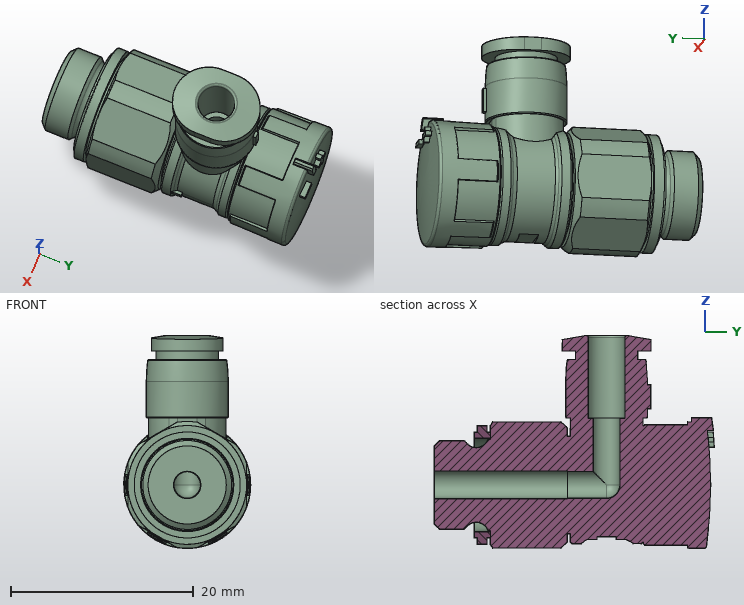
import cadquery as cq
import math

cos_45 = math.cos(math.radians(45))


thread_end_y = -18.87
thread_diameter = 9.73
thread_radius = thread_diameter / 2
thread_chamfer = 0.59
thread_root_y = -15.59
undercut_edge_diameter = 9.0
undercut_diameter = 8.2
hex_bottom_y = -12.74
hex_top_y = -4.29
hex_across_flats = 13.0
hex_corner_diameter = 13.9
hex_bottom_chamfer_height = 0.26
hex_bottom_chamfer_width = hex_corner_diameter / 2 - hex_across_flats / 2
hex_top_chamfer = 0.7

ring_thickness = 1.76
ring_rim_thickness = 1.1
ring_diameter = 13.0
ring_lip_diameter = 11.6
ring_bore_diameter = 10.2
ring_seat_diameter = 10.0

swivel_neck_diameter = 10.7
elbow_half_length = 3.99
elbow_flange_radius = 6.45
elbow_end_bevel = 0.2
elbow_waist_diameter = 11.96
elbow_waist_radius = elbow_waist_diameter / 2
waist_half_length = 2.12
hex_side_flange_y = -2.76
hex_side_shoulder_y = -2.46
knob_side_flange_y = 2.9
knob_side_shoulder_y = 2.59
shoulder_radius = 6.2
flat_depth_z = -5.69
flat_width = 2.1
stop_size = (0.55, 1.2, 0.6)
stop_center = (6.07, -2.1, 0)

knob_diameter = 13.2
knob_radius = knob_diameter / 2
knob_base_y = 4.16
knob_edge_bevel = knob_base_y - elbow_half_length
rim_base_y = 8.84
rim_edge_y = 10.63
rim_radius = 13.91 / 2
rim_fillet = 0.32
crown_y = 11.41
pad_count = 6
pad_width = 2.34
pad_end_y = 4.37
pad_end_radius = 6.84
pad_end_bevel = 0.15
pointer_width = 0.73
pointer_top_z = 7.37
pointer_bottom_z = 5.94
pointer_back_y = 9.27
pointer_tip_y = 11.5
pointer_front_y = 11.7
pointer_bevel = 0.19
sign_length = 1.82
sign_bar = 0.5
sign_offset_x = 1.94
sign_center_z = 4.95
sign_height = 1.7
sign_upper_y = 11.68
sign_lower_y = 11.79

stem_diameter = 8.5
stem_flat_half_width = 1.06
stem_bevel_half_width = 2.0
collar_diameter = 9.0
collar_radius = collar_diameter / 2
collar_bottom_z = 7.31
collar_bottom_bevel = 0.12
collar_taper_z = 11.3
collar_top_z = 13.74
collar_top_radius = 4.33
collar_top_bevel = 0.1
key_width = 0.7
key_reach = 4.83
key_bottom_z = 8.33
key_top_z = 10.97
sleeve_diameter = 6.85
button_bottom_z = 14.63
button_top_z = 16.37
button_width = 7.85
button_length = 9.75
button_crown_radius = 2.3
button_edge_z = 15.93

bore_diameter = 3.0
elbow_passage_diameter = 2.9
tube_bore_diameter = 4.0
tube_stop_z = 7.31
tube_mouth_round = 0.25


def spin_about_y(profile):
    """Revolve a closed profile, given as (radius, y), about the valve axis."""
    return profile.close().revolve(360, (0, 0, 0), (0, 1, 0))


def spin_about_z(profile):
    """Revolve a closed profile, given as (radius, z) in the XZ plane, about the port axis."""
    return profile.close().revolve(360, (0, 0, 0), (0, 1, 0))


def y_cylinder(diameter, start_y, end_y):
    """Cylinder on the valve axis between two places along Y."""
    return (
        cq.Workplane("XZ", origin=(0, start_y, 0))
        .circle(diameter / 2)
        .extrude(start_y - end_y)
    )


def make_threaded_end():
    """Thread cylinder with its undercut, up to the face of the hexagon."""
    shoulder_drop = thread_radius - undercut_edge_diameter / 2
    cone_end_y = thread_root_y + shoulder_drop
    depth = (undercut_edge_diameter - undercut_diameter) / 2
    arc_radius = depth / (1 - cos_45)
    arc_center_y = cone_end_y + arc_radius * cos_45
    seat_rise = (ring_seat_diameter - undercut_diameter) / 2
    seat_y = arc_center_y + math.sqrt(arc_radius**2 - (arc_radius - seat_rise) ** 2)
    profile = (
        cq.Workplane("XY")
        .moveTo(0, thread_end_y)
        .lineTo(thread_radius - thread_chamfer, thread_end_y)
        .lineTo(thread_radius, thread_end_y + thread_chamfer)
        .lineTo(thread_radius, thread_root_y)
        .lineTo(undercut_edge_diameter / 2, cone_end_y)
        .threePointArc((undercut_diameter / 2, arc_center_y), (ring_seat_diameter / 2, seat_y))
        .lineTo(ring_seat_diameter / 2, hex_bottom_y)
        .lineTo(0, hex_bottom_y)
    )
    return spin_about_y(profile)


def make_hexagon():
    """Hexagon with flats facing +X and -X, its corners turned round and chamfered."""
    corner_radius = hex_corner_diameter / 2
    prism = (
        cq.Workplane("XZ", origin=(0, hex_top_y, 0))
        .polygon(6, hex_across_flats, circumscribed=True)
        .extrude(hex_top_y - hex_bottom_y)
    )
    envelope = spin_about_y(
        cq.Workplane("XY")
        .moveTo(0, hex_bottom_y)
        .lineTo(corner_radius - hex_bottom_chamfer_width, hex_bottom_y)
        .lineTo(corner_radius, hex_bottom_y + hex_bottom_chamfer_height)
        .lineTo(corner_radius, hex_top_y - hex_top_chamfer)
        .lineTo(corner_radius - hex_top_chamfer, hex_top_y)
        .lineTo(0, hex_top_y)
    )
    return prism.intersect(envelope)


def make_elbow():
    """Waisted barrel with a flange at each end, a flat underneath and a stop on the +X side."""
    bevel_radius = elbow_flange_radius - elbow_end_bevel
    bevel_y = elbow_half_length - elbow_end_bevel
    profile = (
        cq.Workplane("XY")
        .moveTo(0, -elbow_half_length)
        .lineTo(bevel_radius, -elbow_half_length)
        .lineTo(elbow_flange_radius, -bevel_y)
        .lineTo(elbow_flange_radius, hex_side_flange_y)
        .lineTo(shoulder_radius, hex_side_shoulder_y)
        .lineTo(elbow_waist_radius, -waist_half_length)
        .lineTo(elbow_waist_radius, waist_half_length)
        .lineTo(shoulder_radius, knob_side_shoulder_y)
        .lineTo(elbow_flange_radius, knob_side_flange_y)
        .lineTo(elbow_flange_radius, bevel_y)
        .lineTo(bevel_radius, elbow_half_length)
        .lineTo(0, elbow_half_length)
    )
    elbow = spin_about_y(profile)
    flat = (
        cq.Workplane("XY", origin=(0, 0, flat_depth_z))
        .rect(2 * elbow_flange_radius, flat_width)
        .extrude(-elbow_flange_radius)
    )
    stop = cq.Workplane("XY").box(*stop_size).translate(stop_center)
    return elbow.cut(flat).union(stop)


def make_knob():
    """Adjusting knob: a rim with a domed crown and pads reaching down a round core."""
    rim_fillet_mid = rim_fillet * (1 - cos_45)
    face_radius = rim_radius - rim_fillet
    face_y = rim_edge_y + rim_fillet
    crown_radius = (face_radius**2 + (crown_y - face_y) ** 2) / (2 * (crown_y - face_y))
    crown_mid_radius = face_radius / 2
    crown_mid_y = crown_y - crown_radius + math.sqrt(crown_radius**2 - crown_mid_radius**2)
    envelope = spin_about_y(
        cq.Workplane("XY")
        .moveTo(0, pad_end_y)
        .lineTo(pad_end_radius - pad_end_bevel, pad_end_y)
        .lineTo(pad_end_radius, pad_end_y + pad_end_bevel)
        .lineTo(rim_radius, rim_edge_y)
        .threePointArc((rim_radius - rim_fillet_mid, face_y - rim_fillet_mid), (face_radius, face_y))
        .threePointArc((crown_mid_radius, crown_mid_y), (0, crown_y))
    )
    rim = envelope.intersect(y_cylinder(2 * rim_radius, rim_base_y, crown_y))
    bar = (
        cq.Workplane("XY")
        .box(2 * rim_radius, rim_base_y - pad_end_y, pad_width)
        .translate((0, (rim_base_y + pad_end_y) / 2, 0))
    )
    pads = bar
    for index in range(1, pad_count // 2):
        pads = pads.union(bar.rotate((0, 0, 0), (0, 1, 0), index * 360 / pad_count))
    core = spin_about_y(
        cq.Workplane("XY")
        .moveTo(0, elbow_half_length)
        .lineTo(knob_radius - knob_edge_bevel, elbow_half_length)
        .lineTo(knob_radius, knob_base_y)
        .lineTo(knob_radius, rim_base_y)
        .lineTo(0, rim_base_y)
    )
    return core.union(envelope.intersect(pads)).union(rim)


def make_pointer():
    """Pointer lying over the top of the rim and down onto the crown."""
    pointer = (
        cq.Workplane("YZ", origin=(-pointer_width / 2, 0, 0))
        .moveTo(pointer_back_y, pointer_bottom_z)
        .lineTo(pointer_front_y, pointer_bottom_z)
        .lineTo(pointer_tip_y, pointer_top_z)
        .lineTo(pointer_back_y, pointer_top_z)
        .close()
        .extrude(pointer_width)
    )
    return pointer.edges(">Z and |Y").chamfer(pointer_bevel)


def make_signs():
    """A plus and a minus sign standing on the crown, their tops tilted with it."""
    half = sign_height / 2
    slab = (
        cq.Workplane("YZ", origin=(-sign_offset_x - sign_length, 0, 0))
        .moveTo(rim_edge_y, sign_center_z - half)
        .lineTo(sign_lower_y, sign_center_z - half)
        .lineTo(sign_upper_y, sign_center_z + half)
        .lineTo(rim_edge_y, sign_center_z + half)
        .close()
        .extrude(2 * (sign_offset_x + sign_length))
    )
    bars = (
        cq.Workplane("XZ")
        .pushPoints([(-sign_offset_x, sign_center_z), (sign_offset_x, sign_center_z)])
        .rect(sign_length, sign_bar)
        .extrude(-2 * crown_y)
    )
    upright = (
        cq.Workplane("XZ")
        .center(-sign_offset_x, sign_center_z)
        .rect(sign_bar, sign_height)
        .extrude(-2 * crown_y)
    )
    return slab.intersect(bars.union(upright))


def make_stem():
    """Round stem of the tube port, cut flat in line with the elbow ends."""
    stem_radius = stem_diameter / 2
    bevel_y = math.sqrt(stem_radius**2 - stem_bevel_half_width**2)
    outline = (
        cq.Workplane("XY")
        .moveTo(stem_bevel_half_width, -bevel_y)
        .threePointArc((stem_radius, 0), (stem_bevel_half_width, bevel_y))
        .lineTo(stem_flat_half_width, elbow_half_length)
        .lineTo(-stem_flat_half_width, elbow_half_length)
        .lineTo(-stem_bevel_half_width, bevel_y)
        .threePointArc((-stem_radius, 0), (-stem_bevel_half_width, -bevel_y))
        .lineTo(-stem_flat_half_width, -elbow_half_length)
        .lineTo(stem_flat_half_width, -elbow_half_length)
        .close()
    )
    return outline.extrude(collar_bottom_z)


def make_collar():
    """Collar of the tube port with a raised key on its +Y side."""
    profile = (
        cq.Workplane("XZ")
        .moveTo(0, collar_bottom_z)
        .lineTo(collar_radius - collar_bottom_bevel, collar_bottom_z)
        .lineTo(collar_radius, collar_bottom_z + collar_bottom_bevel)
        .lineTo(collar_radius, collar_taper_z)
        .tangentArcPoint((collar_top_radius, collar_top_z - collar_top_bevel), relative=False)
        .lineTo(collar_top_radius - collar_top_bevel, collar_top_z)
        .lineTo(0, collar_top_z)
    )
    key = (
        cq.Workplane("XY", origin=(0, key_reach / 2, key_bottom_z))
        .rect(key_width, key_reach)
        .extrude(key_top_z - key_bottom_z)
    )
    return spin_about_z(profile).union(key)


def make_button():
    """Release button: a stadium-shaped head with a conical top, on a round sleeve."""
    sleeve = (
        cq.Workplane("XY", origin=(0, 0, collar_top_z))
        .circle(sleeve_diameter / 2)
        .extrude(button_bottom_z - collar_top_z)
    )
    head = (
        cq.Workplane("XY", origin=(0, 0, button_bottom_z))
        .slot2D(button_length, button_width, 90)
        .extrude(button_top_z - button_bottom_z)
    )
    cone = spin_about_z(
        cq.Workplane("XZ")
        .moveTo(0, button_bottom_z)
        .lineTo(button_length / 2, button_bottom_z)
        .lineTo(button_length / 2, button_edge_z)
        .lineTo(button_crown_radius, button_top_z)
        .lineTo(0, button_top_z)
    )
    return sleeve.union(head.intersect(cone))


def make_passage():
    """The bore from the thread, the rounded bend and the tube bore above it."""
    passage_radius = elbow_passage_diameter / 2
    tube_radius = tube_bore_diameter / 2
    round_middle = tube_mouth_round * (1 - cos_45)
    thread_bore = y_cylinder(bore_diameter, hex_top_y, thread_end_y)
    elbow_bore = y_cylinder(elbow_passage_diameter, 0, hex_top_y)
    bend = cq.Workplane("XY").sphere(passage_radius)
    vertical = spin_about_z(
        cq.Workplane("XZ")
        .lineTo(passage_radius, 0)
        .lineTo(passage_radius, tube_stop_z)
        .lineTo(tube_radius, tube_stop_z)
        .lineTo(tube_radius, button_top_z - tube_mouth_round)
        .threePointArc(
            (tube_radius + round_middle, button_top_z - round_middle),
            (tube_radius + tube_mouth_round, button_top_z),
        )
        .lineTo(0, button_top_z)
    )
    return thread_bore.union(elbow_bore).union(bend).union(vertical)


def make_fitting():
    """The whole valve except the sealing ring, as one body."""
    fitting = make_threaded_end().union(make_hexagon())
    fitting = fitting.union(y_cylinder(swivel_neck_diameter, 0, hex_top_y))
    for piece in (make_elbow(), make_knob(), make_pointer(), make_signs()):
        fitting = fitting.union(piece)
    for piece in (make_stem(), make_collar(), make_button()):
        fitting = fitting.union(piece)
    return fitting.cut(make_passage())


def make_sealing_ring():
    """Ring with a lip on both faces, lying against the lower face of the hexagon."""
    ring_bottom_y = hex_bottom_y - ring_thickness
    lip_height = (ring_thickness - ring_rim_thickness) / 2
    lips = y_cylinder(ring_lip_diameter, hex_bottom_y, ring_bottom_y)
    rim = y_cylinder(ring_diameter, hex_bottom_y - lip_height, ring_bottom_y + lip_height)
    bore = y_cylinder(ring_bore_diameter, hex_bottom_y, ring_bottom_y)
    return lips.union(rim).cut(bore)


fitting = make_fitting()
sealing_ring = make_sealing_ring()
result = cq.Compound.makeCompound([fitting.val(), sealing_ring.val()])